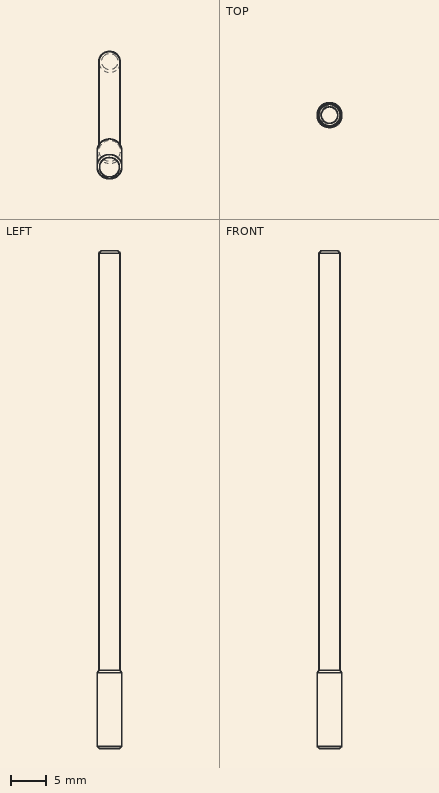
import cadquery as cq

total_length = 70.0
head_diameter = 3.5
head_length = 11.0
shank_diameter = 3.0
end_chamfer = 0.35
shoulder_height = 0.35

shank_length = total_length - head_length
shoulder_width = (head_diameter - shank_diameter) / 2


def make_head():
    """Thick lower cylinder, chamfered below and tapering to the shank above."""
    head = cq.Workplane("XY").circle(head_diameter / 2).extrude(head_length)
    head = head.faces("<Z").chamfer(end_chamfer)
    return head.faces(">Z").chamfer(shoulder_height, shoulder_width)


def make_shank():
    """Long slim rod seated on top of the head, chamfered at its free end."""
    shank = (
        cq.Workplane("XY")
        .workplane(offset=head_length)
        .circle(shank_diameter / 2)
        .extrude(shank_length)
    )
    return shank.faces(">Z").chamfer(end_chamfer)


head = make_head()
shank = make_shank()

result = cq.Compound.makeCompound([head.val(), shank.val()])